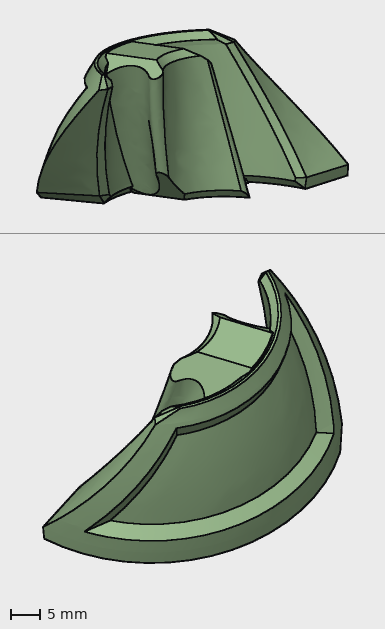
import cadquery as cq
import math

height = 27.1
base_radius = 33.5
wall_taper = 0.22
wall_bow = 0.007111
bore_radius = 20.5
twist_rate = 43 / height

upper_end = 73.5
lower_end = 192.0
end_chamfer_height = 2.2
bottom_chamfer_angle = 4.5
top_chamfer_angle = 7.7
inner_chamfer = 1.4
inner_chamfer_angle = 3.5
rim_chamfer = 1.3
foot_chamfer = 1.55

recess_bottom = 4.55
recess_floor_bottom = 5.8
recess_floor_top = 21.35
recess_top = 24.15
recess_depth = 2.35
recess_start = 83.5
recess_end = 180.4
recess_slope_angle = 5.0
recess_clearance = 0.5

rib_axis_top = 174.0
rib_bore_radius = 10.5
rib_half_angle = 38.0
nose_mid = (8.85, 7.8)
nose_end = (10.4, 7.7)
waist = (14.55, 6.75)
root = (18.3, 10.95)
rib_twist_rate = 37 / height
rib_flat_upper_y = 5.3
rib_flat_lower_y = -3.45
rib_top_slope = 0.9
rib_foot_y = 5.7
rib_foot_slope = 0.9
rib_foot_chamfer = 1.55
rib_head_chamfer = 1.3

layer_count = 6


def outer_radius(z):
    """Radius of the bowed outer wall."""
    return base_radius - wall_taper * z - wall_bow * z**2


def polar(radius, angle, z):
    a = math.radians(angle)
    return cq.Vector(radius * math.cos(a), radius * math.sin(a), z)


def arc(radius, start, end, z):
    return cq.Edge.makeThreePointArc(
        polar(radius, start, z), polar(radius, (start + end) / 2, z), polar(radius, end, z)
    )


def smooth_loft(section, bottom, top):
    """Smooth solid through evenly spaced sections."""
    step = (top - bottom) / layer_count
    return cq.Solid.makeLoft([section(bottom + i * step) for i in range(layer_count + 1)])


def straight_loft(bottom_section, top_section):
    return cq.Workplane(cq.Solid.makeLoft([bottom_section, top_section], True))


def ring_section(z):
    """Annular sector with bevelled inner corners."""
    twist = twist_rate * z
    bottom_trim = bottom_chamfer_angle * max(0, 1 - z / end_chamfer_height)
    top_trim = top_chamfer_angle * max(0, 1 - (height - z) / end_chamfer_height)
    trim = bottom_trim + top_trim
    start = upper_end + twist + trim
    end = lower_end + twist - trim
    outer = outer_radius(z)
    bevel_radius = bore_radius + inner_chamfer
    inner_start = start + inner_chamfer_angle
    inner_end = end - inner_chamfer_angle
    return cq.Wire.assembleEdges([
        arc(outer, start, end, z),
        cq.Edge.makeLine(polar(outer, end, z), polar(bevel_radius, end, z)),
        cq.Edge.makeLine(polar(bevel_radius, end, z), polar(bore_radius, inner_end, z)),
        arc(bore_radius, inner_end, inner_start, z),
        cq.Edge.makeLine(polar(bore_radius, inner_start, z), polar(bevel_radius, start, z)),
        cq.Edge.makeLine(polar(bevel_radius, start, z), polar(outer, start, z)),
    ])


def make_ring():
    chamfer_top = height - end_chamfer_height
    ring = (
        cq.Workplane(smooth_loft(ring_section, end_chamfer_height, chamfer_top))
        .union(straight_loft(ring_section(0), ring_section(end_chamfer_height)))
        .union(straight_loft(ring_section(chamfer_top), ring_section(height)))
    )
    rim_bevel = cq.Workplane(cq.Solid.makeCone(
        bore_radius, bore_radius + rim_chamfer, rim_chamfer, cq.Vector(0, 0, height - rim_chamfer)
    ))
    foot_bevel = cq.Workplane(cq.Solid.makeCone(
        bore_radius + foot_chamfer, bore_radius, foot_chamfer
    ))
    return ring.cut(rim_bevel).cut(foot_bevel)


def recess_section(z, depth):
    """Annular sector narrowing from the outer wall to the recess floor."""
    twist = twist_rate * z
    outer = outer_radius(z) + recess_clearance
    floor = outer_radius(z) - depth
    angle_per_depth = recess_slope_angle / recess_depth
    outer_start = recess_start + twist - recess_clearance * angle_per_depth
    outer_end = recess_end + twist + recess_clearance * angle_per_depth
    floor_start = recess_start + twist + depth * angle_per_depth
    floor_end = recess_end + twist - depth * angle_per_depth
    return cq.Wire.assembleEdges([
        arc(outer, outer_start, outer_end, z),
        cq.Edge.makeLine(polar(outer, outer_end, z), polar(floor, floor_end, z)),
        arc(floor, floor_end, floor_start, z),
        cq.Edge.makeLine(polar(floor, floor_start, z), polar(outer, outer_start, z)),
    ])


def recess_floor_section(z):
    return recess_section(z, recess_depth)


def make_recess():
    floor_start = recess_floor_section(recess_floor_bottom)
    floor_end = recess_floor_section(recess_floor_top)
    return (
        cq.Workplane(smooth_loft(recess_floor_section, recess_floor_bottom, recess_floor_top))
        .union(straight_loft(recess_section(recess_bottom, 0), floor_start))
        .union(straight_loft(floor_end, recess_section(recess_top, 0)))
    )


def rib_section(z):
    """Spoke with a concave inner face, rounded noses and flared roots."""
    axis = rib_axis_top + rib_twist_rate * (z - height)

    def place(point, sign):
        along, across = point
        angle = math.degrees(math.atan2(sign * across, along))
        return polar(math.hypot(along, across), axis + angle, z)

    def side(sign):
        corner = polar(rib_bore_radius, axis + sign * rib_half_angle, z)
        return [
            cq.Edge.makeThreePointArc(corner, place(nose_mid, sign), place(nose_end, sign)),
            cq.Edge.makeThreePointArc(place(nose_end, sign), place(waist, sign), place(root, sign)),
        ]

    root_radius = math.hypot(*root)
    root_angle = math.degrees(math.atan2(root[1], root[0]))
    return cq.Wire.assembleEdges(
        [arc(rib_bore_radius, axis - rib_half_angle, axis + rib_half_angle, z)]
        + side(1)
        + [arc(root_radius, axis + root_angle, axis - root_angle, z)]
        + side(-1)[::-1]
    )


def sloped_wedge(start_y, start_z, direction, slope):
    """Wedge along X between a level plane and a slope, opening toward +Y or -Y."""
    far_y = start_y + direction * base_radius
    far_z = start_z + slope * base_radius
    return (
        cq.Workplane("YZ")
        .polyline([(start_y, start_z), (far_y, start_z), (far_y, far_z)])
        .close()
        .extrude(base_radius, both=True)
    )


def make_rib():
    rib = cq.Workplane(smooth_loft(rib_section, 0, height))
    rib = rib.cut(sloped_wedge(rib_flat_upper_y, height, 1, -rib_top_slope))
    rib = rib.cut(sloped_wedge(rib_flat_lower_y, height, -1, -rib_top_slope))
    rib = rib.cut(sloped_wedge(rib_foot_y, 0, -1, rib_foot_slope))
    foot_bevel = cq.Workplane(cq.Solid.makeCone(
        rib_bore_radius + rib_foot_chamfer, rib_bore_radius, rib_foot_chamfer
    ))
    head_bevel = cq.Workplane(cq.Solid.makeCone(
        rib_bore_radius,
        rib_bore_radius + rib_head_chamfer,
        rib_head_chamfer,
        cq.Vector(0, 0, height - rib_head_chamfer),
    ))
    return rib.cut(foot_bevel).cut(head_bevel)


result = make_ring().union(make_rib()).cut(make_recess())